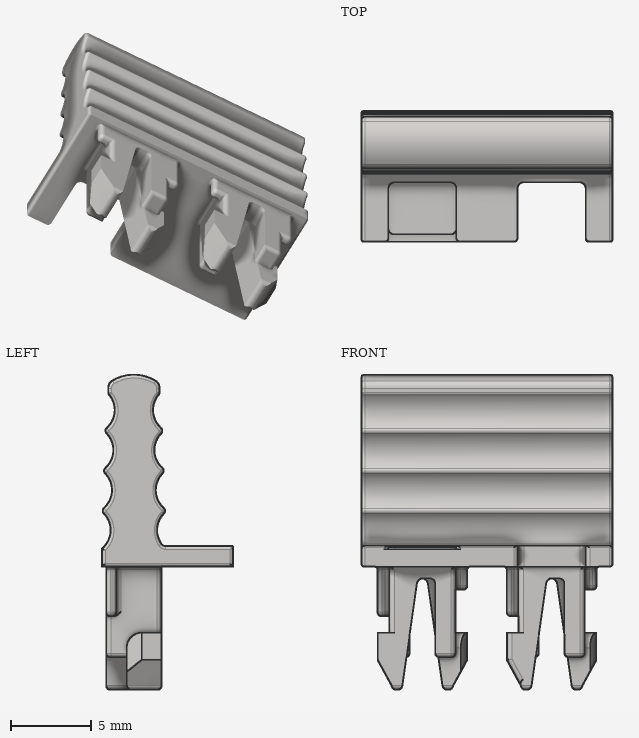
import cadquery as cq
import math

width = 15.7
top_z = 12.0
back_y = 2.0
front_y = -6.2
plate_thickness = 1.3
edge_radius = 0.2

groove_radius = 1.5
groove_pitch = 2.5
groove_count = 4
lowest_groove_z = 2.28
lowest_waist = 1.46
waist_step = 0.085
head_half = 1.61
crown_radius = 2.6
head_corner_radius = 0.55
ridge_radius = 0.23
plate_root_radius = 0.3

clip_pitch = 8.07
opening_width = 4.24
opening_back_y = -2.48
opening_radius = 0.37
mouth_radius = 0.25
plate_lip_radius = 0.1
pocket_depth = 0.1
pocket_front_y = -5.73
lip_depth = 0.2

body_half_x = 2.07
body_half_y = 1.74
body_radius = 0.3
split_y = 0.44
slot_top_z = -0.73
slot_radius = 0.34
slot_half = 0.8
short_end_z = -5.65
short_end_radius = 0.25
hook_half_x = 2.8
hook_top_z = -4.12
hook_nose_z = -5.82
hook_round_radius = 0.93
hook_bevel_x = 0.4
tip_z = -7.7
tip_shoulder_z = -7.4
tip_outer_x = 1.94
tip_inner_x = 1.24
tip_end_radius = 0.3
hook_edge_radius = 0.3
root_radius = 0.17

rib_front_y = 1.1
rib_reach = 0.74
rib_radius = 0.28
long_rib_length = 3.1
short_rib_length = 1.45

overlap = 0.3


def groove_waist(index):
    return lowest_waist - index * waist_step


def groove_z(index):
    return lowest_groove_z + index * groove_pitch


def groove_rise(index, half):
    """Height from a groove's centre to where it reaches the given half thickness."""
    run = groove_waist(index) + groove_radius - half
    return math.sqrt(groove_radius**2 - run**2)


def ridge_point(index):
    """Sharp crest (half thickness, z) between groove index and the one above it."""
    low_y = groove_waist(index) + groove_radius
    high_y = groove_waist(index + 1) + groove_radius
    low_z = groove_z(index)
    high_z = groove_z(index + 1)
    span = math.hypot(high_y - low_y, high_z - low_z)
    height = math.sqrt(groove_radius**2 - (span / 2) ** 2)
    crest_y = (low_y + high_y) / 2 - height * (high_z - low_z) / span
    crest_z = (low_z + high_z) / 2 + height * (high_y - low_y) / span
    return crest_y, crest_z


def fillet_along(solid, points, radius):
    """Fillet the edges that run along X through the given (y, z) points."""
    found = []
    for y, z in points:
        found += solid.edges(cq.selectors.NearestToPointSelector((0, y, z))).vals()
    return solid.newObject(found).fillet(radius)


def make_grip():
    """Grooved grip and plate as one extruded profile with rounded ridges and ends."""
    last = groove_count - 1
    crests = [ridge_point(i) for i in range(last)]
    head_z = groove_z(last) + groove_rise(last, head_half)
    tops = crests + [(head_half, head_z)]
    shoulder_z = top_z - crown_radius + math.sqrt(crown_radius**2 - head_half**2)

    profile = cq.Workplane("YZ").moveTo(back_y, 0)
    profile = profile.lineTo(back_y, lowest_groove_z - groove_rise(0, back_y))
    for i, (y, z) in enumerate(tops):
        profile = profile.threePointArc((groove_waist(i), groove_z(i)), (y, z))
    profile = profile.lineTo(head_half, shoulder_z)
    profile = profile.threePointArc((0, top_z), (-head_half, shoulder_z))
    profile = profile.lineTo(-head_half, head_z)

    plate_rise = lowest_groove_z - plate_thickness
    root_y = groove_waist(0) + groove_radius - math.sqrt(groove_radius**2 - plate_rise**2)
    bottoms = [(root_y, plate_thickness)] + crests
    for i in reversed(range(groove_count)):
        y, z = bottoms[i]
        profile = profile.threePointArc((-groove_waist(i), groove_z(i)), (-y, z))
    profile = profile.lineTo(front_y, plate_thickness).lineTo(front_y, 0).close()
    grip = profile.extrude(width / 2, both=True)

    ridges = [(side * y, z) for side in (1, -1) for y, z in tops]
    shoulders = [(side * head_half, shoulder_z) for side in (1, -1)]
    grip = fillet_along(grip, ridges, ridge_radius)
    grip = fillet_along(grip, shoulders, head_corner_radius)
    grip = fillet_along(grip, [(-root_y, plate_thickness)], plate_root_radius)
    return grip.faces("<X or >X").edges().fillet(edge_radius)


def open_slot(back, floor):
    """Cutter open past the plate front, with sides that round outward at the front face."""
    height = 2 * plate_thickness
    side_x = opening_width / 2
    flare_x = side_x + 2 * mouth_radius
    past_front_y = front_y - overlap
    plan = [
        (-side_x, back),
        (side_x, back),
        (side_x, front_y),
        (flare_x, front_y),
        (flare_x, past_front_y),
        (-flare_x, past_front_y),
        (-flare_x, front_y),
        (-side_x, front_y),
    ]
    slot = cq.Workplane("XY").workplane(offset=floor).polyline(plan).close().extrude(height)
    for x in (-side_x, side_x):
        corner = cq.selectors.NearestToPointSelector((x, front_y, floor + height / 2))
        slot = slot.edges(corner).fillet(mouth_radius)
    return slot


def pocket_cutter():
    """Shallow rounded pocket with a slightly deeper strip between it and the plate front."""
    length = opening_back_y - pocket_front_y
    floor = plate_thickness - pocket_depth
    pocket = cq.Workplane("XY").box(opening_width, length, plate_thickness, centered=(True, False, False))
    pocket = pocket.translate((0, pocket_front_y, floor)).edges("|Z").fillet(opening_radius)
    strip = open_slot(pocket_front_y + opening_radius, plate_thickness - lip_depth)
    strip = strip.cut(pocket.translate((0, 0, -plate_thickness / 2)))
    return pocket.union(strip)


def cut_plate(grip):
    """Round the plate's front lip, then cut the notch and the pocket."""
    grip = grip.faces("<Y").edges(">Z").fillet(plate_lip_radius)
    notch = open_slot(opening_back_y, -overlap).edges("|Z and >Y").fillet(opening_radius)
    grip = grip.cut(notch.translate((clip_pitch / 2, 0, 0)))
    return grip.cut(pocket_cutter().translate((-clip_pitch / 2, 0, 0)))


def extrude_y(profile, start_y, end_y):
    """Extrude an XZ profile, which grows toward -Y, from end_y back to start_y."""
    return profile.extrude(end_y - start_y).translate((0, end_y, 0))


def tip_envelope():
    """Block around a hooked part whose bottom corners round off the ends of the tip."""
    length = split_y + body_half_y
    height = 2 * overlap - tip_z
    block = cq.Workplane("XY").box(3 * hook_half_x, length, height, centered=(True, False, False))
    return block.edges("|X and <Z").fillet(tip_end_radius).translate((0, -body_half_y, tip_z))


def make_hooked_part(round_front):
    """Front part of a left leg, with the hook on its outer side and tapering to the tip."""
    tip_x = (tip_outer_x + tip_inner_x) / 2
    profile = cq.Workplane("XZ").moveTo(0, overlap).lineTo(-body_half_x, overlap)
    profile = profile.lineTo(-body_half_x, hook_top_z).lineTo(-hook_half_x, hook_top_z)
    profile = profile.lineTo(-hook_half_x, hook_nose_z).lineTo(-tip_outer_x, tip_shoulder_z)
    profile = profile.threePointArc((-tip_x, tip_z), (-tip_inner_x, tip_shoulder_z))
    profile = profile.lineTo(-slot_radius, slot_top_z - slot_radius)
    profile = profile.tangentArcPoint((0, slot_top_z), relative=False).close()
    part = extrude_y(profile, -body_half_y, split_y)

    def edge_near(x, y, z):
        return part.edges(cq.selectors.NearestToPointSelector((x, y, z)))

    hook_mid_z = (hook_top_z + hook_nose_z) / 2
    slope_mid_x = -(hook_half_x + tip_outer_x) / 2
    slope_mid_z = (hook_nose_z + tip_shoulder_z) / 2
    part = edge_near(-body_half_x, -body_half_y, hook_top_z / 2).fillet(body_radius)
    if round_front:
        nose = edge_near(-hook_half_x, -body_half_y, hook_mid_z)
        slope = edge_near(slope_mid_x, -body_half_y, slope_mid_z)
        part = nose.add(slope).fillet(hook_edge_radius)
    hook_top_mid_x = -(body_half_x + hook_half_x) / 2
    part = edge_near(hook_top_mid_x, split_y, hook_top_z).fillet(hook_round_radius)
    bevel = (
        cq.Workplane("XY")
        .moveTo(-hook_half_x, split_y - hook_round_radius)
        .lineTo(-hook_half_x, split_y)
        .lineTo(-hook_half_x + hook_bevel_x, split_y)
        .close()
        .extrude(tip_z)
    )
    return part.cut(bevel).intersect(tip_envelope())


def make_short_part():
    """Back part of a left leg, straight on the slot side."""
    profile = cq.Workplane("XZ").moveTo(0, overlap).lineTo(-body_half_x, overlap)
    profile = profile.lineTo(-body_half_x, short_end_z).lineTo(-slot_half, short_end_z)
    profile = profile.lineTo(-slot_half, slot_top_z - slot_radius)
    profile = profile.tangentArcPoint((-slot_half + slot_radius, slot_top_z), relative=False)
    profile = profile.lineTo(0, slot_top_z).close()
    part = extrude_y(profile, split_y, body_half_y)
    part = part.edges("|Z and <X and >Y").fillet(body_radius)
    return part.faces("<Z").edges("not <Y").fillet(short_end_radius)


def make_leg(round_front):
    return make_hooked_part(round_front).union(make_short_part())


def make_rib(length):
    """Rib on the left of a clip, blended into the leg side by a foot sunk in the leg."""
    inner_x = -body_half_x + body_radius
    outer_x = -body_half_x - rib_reach
    foot_y = rib_front_y - 2 * rib_radius
    plan = [
        (inner_x, body_half_y),
        (outer_x, body_half_y),
        (outer_x, rib_front_y),
        (-body_half_x, rib_front_y),
        (-body_half_x, foot_y),
        (inner_x, foot_y),
    ]
    rib = cq.Workplane("XY").workplane(offset=-length).polyline(plan).close().extrude(length + overlap)
    outer_edges = rib.edges("|Z").edges("<X")
    foot_edge = rib.edges(cq.selectors.NearestToPointSelector((-body_half_x, rib_front_y, -length / 2)))
    rib = outer_edges.add(foot_edge).fillet(rib_radius)
    return rib.faces("<Z").edges("not >X").fillet(rib_radius)


def make_clip(round_front):
    """Two legs, alike under a half turn, with a stop rib on each side."""
    right_leg = make_leg(False).rotate((0, 0, 0), (0, 0, 1), 180)
    clip = make_leg(round_front).union(right_leg)
    clip = clip.union(make_rib(long_rib_length))
    return clip.union(make_rib(short_rib_length).mirror("YZ"))


def blend_roots(part):
    """Fillet the clip sides into the plate, leaving the front and back of the clips plain."""
    near = root_radius / 10
    reach_x = width / 2
    reach_y = body_half_y + near
    junction = cq.selectors.BoxSelector((-reach_x, -reach_y, -near), (reach_x, reach_y, near))
    part = part.edges(junction).fillet(root_radius)
    trim = 2 * root_radius
    strip = cq.Workplane("XY").box(width, trim, trim, centered=(True, False, False))
    for y in (-body_half_y - trim, body_half_y):
        part = part.cut(strip.translate((0, y, -trim)))
    return part


part = cut_plate(make_grip())
for side in (-1, 1):
    clip = make_clip(round_front=side > 0)
    part = part.union(clip.translate((side * clip_pitch / 2, 0, 0)))
result = blend_roots(part)